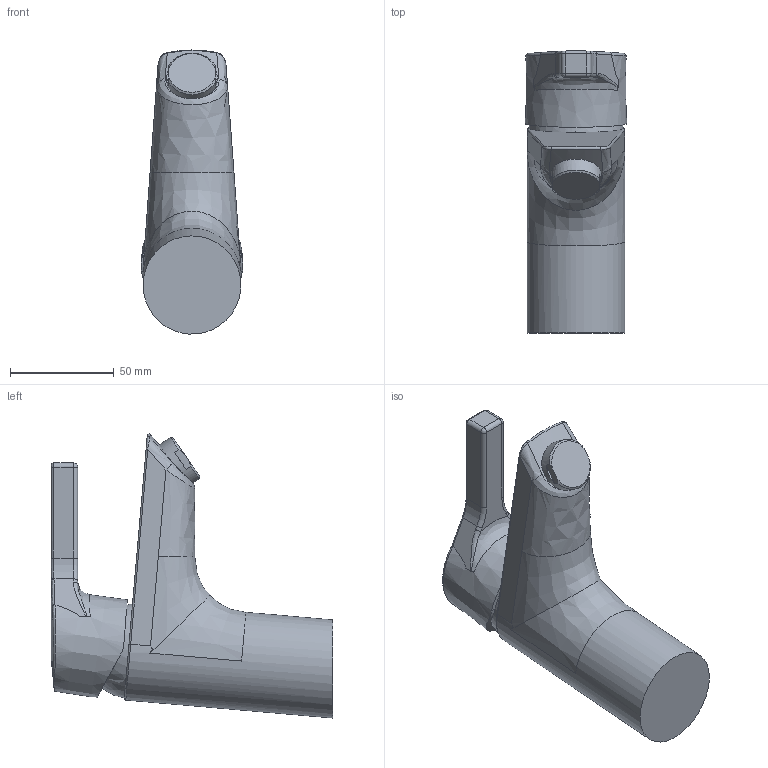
import cadquery as cq
import math

overall_length = 135.9

body_tilt = math.radians(5)
body_radius = 23.6
body_length = 99.0
side_draft = math.radians(4.2)
flank_depth = 10.4
nose_y = 66.6
throat_radius = 27.0
throat_steps = 3
spout_blank_height = 120.0
rear_edge_fillet = 0.8

mouth_slope = math.radians(48.4)
mouth_top_z = 114.5
mouth_crown_radius = 80.0
mouth_edge_fillet = 5.0
mouth_trim_half = 40.0
mouth_trim_size = 60.0

aerator_tilt = math.radians(35)
aerator_face_y = 70.8
aerator_face_z = 102.3
aerator_radius = 12.15
aerator_length = 12.0
aerator_chamfer = 0.8
aerator_flat_offset = 11.1
aerator_flat_depth = 3.4

core_radius = 22.7
core_position = 97.5

handle_tilt = math.radians(8.3)
handle_front_y = 100.1
handle_front_z = 8.8
handle_front_radius = 24.48
handle_draft = math.radians(0.5)
handle_reach = 10.0
handle_dome_radius = 240.0
handle_rear_lean = math.radians(5.5)
handle_lean_z = 5.7
handle_rim_fillet = 1.2
rim_top = (99.2, 33.2)
rim_knee = (101.0, 9.5)
rim_bottom = (113.6, -13.5)
rim_knee_radius = 15.0

lever_width = 14.4
lever_thickness = 12.8
lever_top_z = 99.4
lever_flare_angle = math.radians(30)
lever_foot_half = 20.4
lever_foot_z = 25.3
lever_bend_radius = 20.0
lever_edge_fillet = 2.0
lever_root_radius = 6.5
lever_root_top_z = 42.0

sin_tilt = math.sin(body_tilt)
cos_tilt = math.cos(body_tilt)
body_axis = cq.Vector(0, cos_tilt, sin_tilt)
seam = body_length - flank_depth
throat_y = nose_y - throat_radius
throat_z = (body_radius + throat_radius + throat_y * sin_tilt) / cos_tilt
lever_front_y = overall_length - lever_thickness
lever_reach = 2 * lever_thickness

trim_size = 400.0
pick = 0.1


def along_axis(y, z):
    """Distance of a (Y, Z) point along the body axis."""
    return y * cos_tilt + z * sin_tilt


def above_axis(y, z):
    """Distance of a (Y, Z) point above the body axis."""
    return z * cos_tilt - y * sin_tilt


def to_yz(along, above):
    """(Y, Z) of a point given along and above the body axis."""
    return (along * cos_tilt - above * sin_tilt, along * sin_tilt + above * cos_tilt)


def y_at(along, z):
    """Y of the point at height z on the plane square to the body axis."""
    return (along - z * sin_tilt) / cos_tilt


def flank_half_width(above):
    return body_radius - above * math.tan(side_draft)


def side_prism(points):
    """Block across the full width with a closed (Y, Z) outline."""
    return cq.Workplane("YZ").polyline(points).close().extrude(trim_size / 2, both=True)


def loft(sections, ruled=False):
    return cq.Workplane(cq.Solid.makeLoft(sections, ruled))


def pipe():
    """Tilted cylinder with an upright end face."""
    overrun = body_radius / 2
    start = body_axis * -overrun
    blank = cq.Solid.makeCylinder(body_radius, body_length + overrun, start, body_axis)
    behind_end = cq.Workplane("XY").box(trim_size, trim_size, trim_size, centered=(True, False, True))
    return cq.Workplane(blank).intersect(behind_end)


def flanks():
    """Drafted slab directly in front of the rear face."""
    top = spout_blank_height
    top_half = flank_half_width(top)
    plane = cq.Plane((0, *to_yz(seam, 0)), xDir=(-1, 0, 0), normal=body_axis)
    outline = [(-body_radius, 0), (body_radius, 0), (top_half, top), (-top_half, top)]
    return cq.Workplane(plane).polyline(outline).close().extrude(flank_depth)


def nose_section(chord_y, chord_z, angle, depth):
    """Half ellipse that bulges forward from a chord between the flanks, its plane turned by angle."""
    half = flank_half_width(above_axis(chord_y, chord_z))
    normal = (0, math.sin(angle), math.cos(angle))
    plane = cq.Plane((0, chord_y, chord_z), xDir=(1, 0, 0), normal=normal)
    outline = cq.Workplane(plane).ellipseArc(half, depth, 180, 360, startAtCurrent=False)
    return outline.close().val()


def throat_section(chord_y, chord_z):
    """Section in a plane through the centre line of the throat arc."""
    forward = chord_y - throat_y
    down = throat_z - chord_z
    depth = math.hypot(down, forward) - throat_radius
    return nose_section(chord_y, chord_z, math.atan2(down, forward), depth)


def stem_section(z):
    """Level section of the upright part of the spout."""
    chord_y = y_at(seam, z)
    return nose_section(chord_y, z, 0, chord_y - nose_y)


def spout_nose():
    """Upright stem, then a throat whose sections fan around to the section of the pipe."""
    throat_along = along_axis(throat_y, throat_z)
    throat_top = above_axis(y_at(seam, throat_z), throat_z)
    upper = []
    lower = []
    for step in range(throat_steps + 1):
        part = step / throat_steps
        upper.append(throat_section(*to_yz(seam, throat_top * (1 - part))))
        lower.append(throat_section(*to_yz(seam + (throat_along - seam) * part, 0)))
    stem = loft([stem_section(throat_z), stem_section(spout_blank_height)], ruled=True)
    return stem.union(loft(upper)).union(loft(lower))


def mouth_trim():
    """Everything above the crowned, sloping mouth surface."""
    slope_direction = (0, math.cos(mouth_slope), math.sin(mouth_slope))
    origin = (0, y_at(body_length, mouth_top_z), mouth_top_z)
    plane = cq.Plane(origin, xDir=(-1, 0, 0), normal=slope_direction)
    half = mouth_trim_half
    drop = mouth_crown_radius - math.sqrt(mouth_crown_radius ** 2 - half ** 2)
    return (
        cq.Workplane(plane)
        .moveTo(-half, -drop)
        .threePointArc((0, 0), (half, -drop))
        .lineTo(half, mouth_trim_size)
        .lineTo(-half, mouth_trim_size)
        .close()
        .extrude(mouth_trim_size, both=True)
    )


def body():
    solid = pipe().union(flanks()).union(spout_nose()).cut(mouth_trim())
    mouth_side_edges = solid.faces("%CYLINDER").faces(">Z").edges("<X or >X")
    solid = mouth_side_edges.fillet(mouth_edge_fillet)
    rear_face = solid.faces(cq.DirectionMinMaxSelector(body_axis, True))
    return rear_face.edges().fillet(rear_edge_fillet)


def aerator():
    outward = cq.Vector(0, -math.cos(aerator_tilt), math.sin(aerator_tilt))
    plane = cq.Plane((0, aerator_face_y, aerator_face_z), xDir=(1, 0, 0), normal=outward)
    solid = cq.Workplane(plane).circle(aerator_radius).extrude(-aerator_length)
    solid = solid.faces(cq.DirectionMinMaxSelector(outward, True)).chamfer(aerator_chamfer)
    block = 2 * aerator_radius
    for side in (-1, 1):
        x = side * (aerator_flat_offset + block / 2)
        flat = cq.Workplane(plane).center(x, 0).rect(block, block).extrude(-aerator_flat_depth)
        solid = solid.cut(flat)
    return solid


def core():
    return cq.Workplane("XY").sphere(core_radius).translate((0, *to_yz(core_position, 0)))


def handle_cone():
    """Slightly tapered barrel, overlong at both ends."""
    axis = cq.Vector(0, math.cos(handle_tilt), math.sin(handle_tilt))
    start = cq.Vector(0, handle_front_y, handle_front_z) - axis * handle_reach
    length = (overall_length - handle_front_y) / math.cos(handle_tilt) + 2 * handle_reach
    taper = math.tan(handle_draft)
    front_radius = handle_front_radius + handle_reach * taper
    rear_radius = front_radius - length * taper
    return cq.Workplane(cq.Solid.makeCone(front_radius, rear_radius, length, start, axis))


def lever_outline():
    """Long prism with the lever outline, whose foot flares out towards the handle cone."""
    half = lever_width / 2
    bend_run = lever_bend_radius * (1 - math.cos(lever_flare_angle))
    bend_end_x = half + bend_run
    bend_end_z = lever_foot_z + (lever_foot_half - bend_end_x) / math.tan(lever_flare_angle)
    bend_top_z = bend_end_z + lever_bend_radius * math.sin(lever_flare_angle)
    bend_mid_x = half + lever_bend_radius * (1 - math.cos(lever_flare_angle / 2))
    bend_mid_z = bend_top_z - lever_bend_radius * math.sin(lever_flare_angle / 2)
    plane = cq.Plane((0, overall_length - lever_reach, 0), xDir=(-1, 0, 0), normal=(0, 1, 0))
    return (
        cq.Workplane(plane)
        .moveTo(-half, lever_top_z)
        .lineTo(half, lever_top_z)
        .lineTo(half, bend_top_z)
        .threePointArc((bend_mid_x, bend_mid_z), (bend_end_x, bend_end_z))
        .lineTo(lever_foot_half, lever_foot_z)
        .lineTo(-lever_foot_half, lever_foot_z)
        .lineTo(-bend_end_x, bend_end_z)
        .threePointArc((-bend_mid_x, bend_mid_z), (-half, bend_top_z))
        .close()
        .extrude(2 * lever_reach)
    )


def lever_slab():
    """Handle cone and a wide upright slab, joined by the root arc of the lever."""
    slab = cq.Workplane("XY").box(trim_size, lever_reach, trim_size, centered=(True, False, True))
    joint = handle_cone().union(slab.translate((0, lever_front_y, 0)))
    reach = 3 * handle_front_radius
    root_edges = cq.selectors.BoxSelector(
        (-reach, lever_front_y - pick, -reach),
        (reach, lever_front_y + pick, reach),
    )
    return joint.edges(root_edges).fillet(lever_root_radius)


def handle_rear():
    """Space in front of the domed rear face, which leans forward near its bottom."""
    dome = (
        cq.Workplane("XY", origin=(0, overall_length - handle_dome_radius, -trim_size / 2))
        .circle(handle_dome_radius)
        .extrude(trim_size)
    )
    lean_drop = trim_size / 2
    lean_y = overall_length - lean_drop * math.tan(handle_rear_lean)
    lean = side_prism([
        (overall_length, handle_lean_z),
        (lean_y, handle_lean_z - lean_drop),
        (trim_size, handle_lean_z - lean_drop),
        (trim_size, handle_lean_z),
    ])
    return dome.cut(lean)


def handle_front_trim():
    """Everything ahead of the front rim: a nearly square upper part and an undercut lower part."""
    trim = side_prism([
        (0, trim_size),
        (rim_top[0], trim_size),
        rim_top,
        rim_knee,
        rim_bottom,
        (rim_bottom[0], -trim_size),
        (0, -trim_size),
    ])
    knee_edge = cq.selectors.BoxSelector(
        (-trim_size, rim_knee[0] - pick, rim_knee[1] - pick),
        (trim_size, rim_knee[0] + pick, rim_knee[1] + pick),
    )
    return trim.edges(knee_edge).fillet(rim_knee_radius)


def handle():
    solid = handle_cone().union(lever_slab().intersect(lever_outline()))
    solid = solid.intersect(handle_rear()).cut(handle_front_trim())
    front_edges = cq.selectors.BoxSelector(
        (-lever_width, lever_front_y - pick, lever_root_top_z),
        (lever_width, lever_front_y + pick, trim_size),
    )
    top_side_edges = cq.selectors.BoxSelector(
        (-lever_width, lever_front_y + pick, lever_top_z - pick),
        (lever_width, overall_length - handle_rim_fillet, lever_top_z + pick),
    )
    solid = solid.edges(front_edges + top_side_edges).fillet(lever_edge_fillet)
    return solid.faces(">Y").edges().fillet(handle_rim_fillet)


result = body().union(aerator()).union(core()).union(handle())